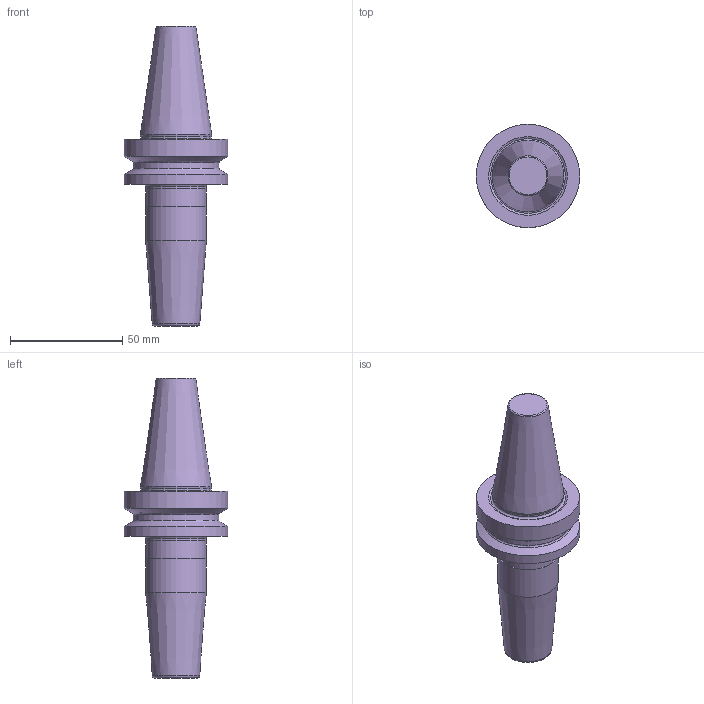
import cadquery as cq
import math


TAPER_TOP_Z = 48.4
GAUGE_RADIUS = 31.75 / 2
TAPER_RATIO = 7 / 24
TAPER_TOP_RADIUS = GAUGE_RADIUS - TAPER_TOP_Z * TAPER_RATIO / 2
TAPER_TOP_FILLET = 0.5

NECK_RADIUS = 15.7
NECK_TOP_Z = -0.8
RELIEF_ARC_RADIUS = 0.9
RELIEF_ARC_TOP_Z = -1.6
RELIEF_OUTER_RADIUS = 17.5

FLANGE_RADIUS = 46.0 / 2
FLANGE_TOP_Z = -2.0
FLANGE_BOTTOM_Z = -22.0

GROOVE_CENTER_Z = -13.6
GROOVE_MOUTH_WIDTH = 8.0
GROOVE_FLOOR_RADIUS = 19.1
GROOVE_FLOOR_FILLET = 1.0
GROOVE_HALF_ANGLE = math.radians(30)

BODY_RADIUS = 27.0 / 2
BODY_ROOT_FILLET = 0.9

BODY_RELIEF_DEPTH = 0.1
BODY_RELIEF_TOP_Z = -24.0
BODY_RELIEF_BOTTOM_Z = -32.0
BODY_RELIEF_RADIUS = BODY_RADIUS - BODY_RELIEF_DEPTH

NOSE_TOP_Z = -47.0
NOSE_BOTTOM_Z = -85.0
NOSE_HALF_ANGLE = math.radians(4.5)
NOSE_BOTTOM_RADIUS = BODY_RADIUS - (NOSE_TOP_Z - NOSE_BOTTOM_Z) * math.tan(NOSE_HALF_ANGLE)
NOSE_FILLET = 1.0

RADIUS_TOLERANCE = 1e-3


def revolve_about_z(outline):
    """Revolve a closed outline, drawn as (radius, z) in the XZ plane, about Z."""
    return outline.close().revolve(360, (0, 0, 0), (0, 1, 0))


def make_body():
    """Taper, relief, plain flange, chuck body with its shallow band, and nose as one turned blank."""
    relief_floor_radius = NECK_RADIUS + RELIEF_ARC_RADIUS
    relief_floor_z = RELIEF_ARC_TOP_Z - RELIEF_ARC_RADIUS
    diagonal = RELIEF_ARC_RADIUS / math.sqrt(2)
    relief_arc_middle = (relief_floor_radius - diagonal, RELIEF_ARC_TOP_Z - diagonal)

    outline = (
        cq.Workplane("XZ")
        .moveTo(0, TAPER_TOP_Z)
        .lineTo(TAPER_TOP_RADIUS, TAPER_TOP_Z)
        .lineTo(GAUGE_RADIUS, 0)
        .lineTo(NECK_RADIUS, NECK_TOP_Z)
        .lineTo(NECK_RADIUS, RELIEF_ARC_TOP_Z)
        .threePointArc(relief_arc_middle, (relief_floor_radius, relief_floor_z))
        .lineTo(RELIEF_OUTER_RADIUS, FLANGE_TOP_Z)
        .lineTo(FLANGE_RADIUS, FLANGE_TOP_Z)
        .lineTo(FLANGE_RADIUS, FLANGE_BOTTOM_Z)
        .lineTo(BODY_RADIUS, FLANGE_BOTTOM_Z)
        .lineTo(BODY_RADIUS, BODY_RELIEF_TOP_Z)
        .lineTo(BODY_RELIEF_RADIUS, BODY_RELIEF_TOP_Z)
        .lineTo(BODY_RELIEF_RADIUS, BODY_RELIEF_BOTTOM_Z)
        .lineTo(BODY_RADIUS, BODY_RELIEF_BOTTOM_Z)
        .lineTo(BODY_RADIUS, NOSE_TOP_Z)
        .lineTo(NOSE_BOTTOM_RADIUS, NOSE_BOTTOM_Z)
        .lineTo(0, NOSE_BOTTOM_Z)
    )
    return revolve_about_z(outline)


def circles_of_radius(solid, radius):
    """Circular edges of the given radius."""
    return solid.edges("%CIRCLE").filter(
        lambda edge: math.isclose(edge.radius(), radius, abs_tol=RADIUS_TOLERANCE)
    )


def fillet_circle(body, radius, z, fillet):
    """Round the circular edge of the given radius and height on the turned body."""
    nearest_to_height = cq.selectors.NearestToPointSelector((0, 0, z))
    return circles_of_radius(body, radius).edges(nearest_to_height).fillet(fillet)


def make_gripper_groove():
    """Ring-shaped cutter for the V groove, with rounded floor corners."""
    depth = FLANGE_RADIUS - GROOVE_FLOOR_RADIUS
    mouth_half = GROOVE_MOUTH_WIDTH / 2
    floor_half = mouth_half - depth * math.tan(GROOVE_HALF_ANGLE)
    outline = (
        cq.Workplane("XZ")
        .moveTo(FLANGE_RADIUS, GROOVE_CENTER_Z + mouth_half)
        .lineTo(GROOVE_FLOOR_RADIUS, GROOVE_CENTER_Z + floor_half)
        .lineTo(GROOVE_FLOOR_RADIUS, GROOVE_CENTER_Z - floor_half)
        .lineTo(FLANGE_RADIUS, GROOVE_CENTER_Z - mouth_half)
    )
    ring = revolve_about_z(outline)
    return circles_of_radius(ring, GROOVE_FLOOR_RADIUS).fillet(GROOVE_FLOOR_FILLET)


body = make_body()
body = fillet_circle(body, TAPER_TOP_RADIUS, TAPER_TOP_Z, TAPER_TOP_FILLET)
body = fillet_circle(body, BODY_RADIUS, FLANGE_BOTTOM_Z, BODY_ROOT_FILLET)
body = fillet_circle(body, NOSE_BOTTOM_RADIUS, NOSE_BOTTOM_Z, NOSE_FILLET)

result = body.cut(make_gripper_groove())